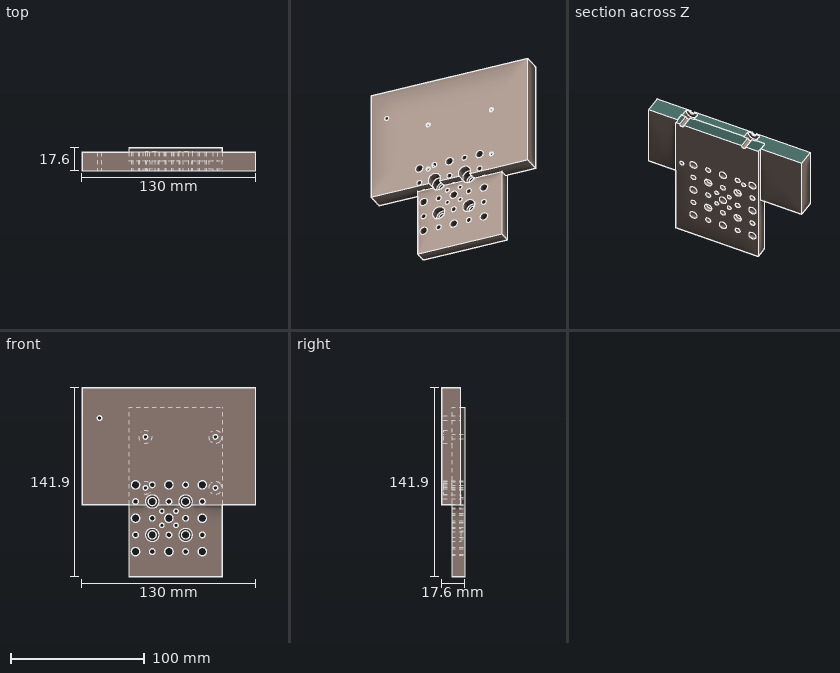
import cadquery as cq


plate_width = 130.0
plate_height = 87.9
plate_thickness = 14.2
plate_bottom = 10.0

mount_left = -30.0
mount_width = 70.0
mount_height = 127.0
mount_thickness = 10.0
mount_bottom = -44.0
mount_front = 7.6
mount_back = mount_front + mount_thickness

grid_pitch = 12.5
grid_reach = 2
large_hole_diameter = 6.1
small_hole_diameter = 4.1
bolt_hole_diameter = 6.0
counterbore_diameter = 10.0
counterbore_depth = 7.0

centre_hole_offset = 5.3
centre_hole_diameter = 3.2

fixing_hole_diameter = 3.3
fixing_left = -17.6
fixing_bottom = 22.75
fixing_span_x = 52.4
fixing_span_z = 38.2
fixing_recess_diameter = 9.7
fixing_recess_floor = 1.5
lone_hole_position = (-52.0, 75.0)


def box_between(left, bottom, width, height, front, back):
    """Block given by its lower left corner in XZ, its size and its Y range."""
    return cq.Workplane("XY").box(width, back - front, height, centered=False).translate((left, front, bottom))


def drill(positions, diameter, depth=mount_back):
    """Cylinders from the front face (Y = 0) toward +Y at (x, z) positions."""
    return cq.Workplane("XZ").pushPoints(positions).circle(diameter / 2).extrude(-depth)


def grid_positions():
    """Sort the grid into large holes, small holes and counterbored bolt holes."""
    large, small, bolt = [], [], []
    steps = range(-grid_reach, grid_reach + 1)
    for column in steps:
        for row in steps:
            position = (column * grid_pitch, row * grid_pitch)
            if (column + row) % 2:
                small.append(position)
            elif column % 2:
                bolt.append(position)
            else:
                large.append(position)
    return large, small, bolt


def fixing_positions():
    return [(fixing_left + x, fixing_bottom + z) for x in (0, fixing_span_x) for z in (0, fixing_span_z)]


def fixing_recesses():
    """Recesses around the fixing holes, sunk into the pocket floor of the main plate from behind."""
    recess_depth = mount_front - fixing_recess_floor
    return drill(fixing_positions(), fixing_recess_diameter, recess_depth).translate((0, fixing_recess_floor, 0))


def hole_tools():
    """All holes; they run in one line through both plates."""
    large, small, bolt = grid_positions()
    centre = [(x, z) for x in (-centre_hole_offset, centre_hole_offset)
              for z in (-centre_hole_offset, centre_hole_offset)]
    fixing = fixing_positions() + [lone_hole_position]
    return [
        drill(large, large_hole_diameter),
        drill(small, small_hole_diameter),
        drill(bolt, bolt_hole_diameter),
        drill(bolt, counterbore_diameter, mount_front + counterbore_depth),
        drill(centre, centre_hole_diameter),
        drill(fixing, fixing_hole_diameter),
    ]


def cut_holes(body):
    for tool in hole_tools():
        body = body.cut(tool)
    return body


def make_mount_blank():
    return box_between(mount_left, mount_bottom, mount_width, mount_height, mount_front, mount_back)


def make_main_plate():
    plate = box_between(-plate_width / 2, plate_bottom, plate_width, plate_height, 0, plate_thickness)
    return cut_holes(plate.cut(make_mount_blank()).cut(fixing_recesses()))


def make_mounting_plate():
    return cut_holes(make_mount_blank())


main_plate = make_main_plate()
mounting_plate = make_mounting_plate()

result = cq.Compound.makeCompound([main_plate.val(), mounting_plate.val()])